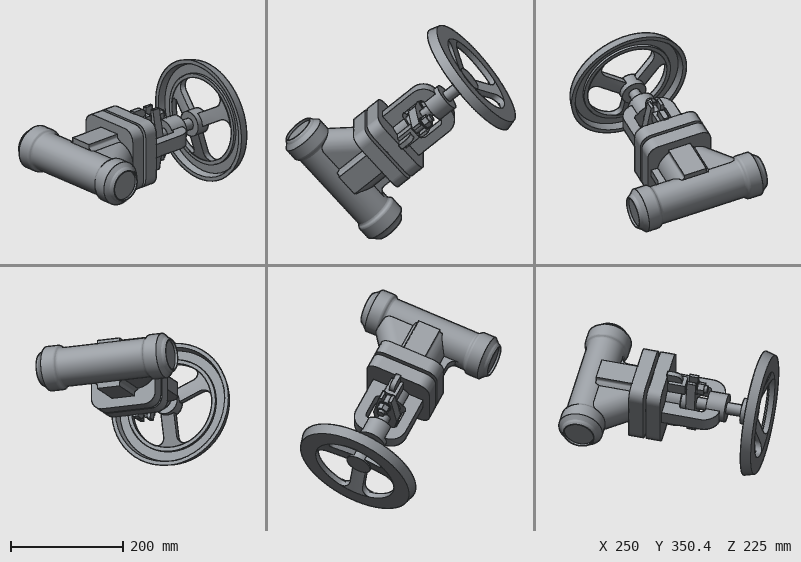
import cadquery as cq
import math


pipe_length = 250.0
pipe_radius = 34.9
collar_radius = 40.0
neck_down_start = 87.0
neck_down_round = 5.0
bevel_length = 14.0
bevel_land_length = 6.5
bevel_land_radius = 32.5
bevel_middle_length = 3.2
bevel_middle_radius = 30.8
pipe_tip_radius = 28.2
port_radius = 27.0
port_depth = 4.5
pipe_seam_angle = 20.0

neck_radius = 43.0
neck_bottom = 7.0
pad_half_width = 21.3
pad_reach = 44.5
pad_round = 4.0
rib_thickness = 16.0
rib_reach = 55.0
rib_round = 14.8
shoulder_radius = 32.0
shoulder_top_reach = 61.8
shoulder_depth = 35.0
shoulder_angle = 37.8

flange_width = 123.0
flange_corner_radius = 21.0
flange_thickness = 26.0
body_flange_bottom = 76.0
body_flange_top = body_flange_bottom + flange_thickness
seat_radius = 39.0
joint_height = 104.2
tongue_radius = 43.5
bonnet_flange_bottom = 107.5
bonnet_flange_top = bonnet_flange_bottom + flange_thickness

yoke_width = 98.5
yoke_thickness = 25.5
yoke_top = 233.0
yoke_outer_round = 29.0
window_width = 60.0
window_bottom = 160.0
window_top = 207.5
window_round = 7.0
yoke_hub_radius = 25.0
yoke_hub_top = 241.5

gland_radius = 17.0
gland_plate_bottom = 170.8
gland_plate_top = 186.8
gland_plate_reach = 59.0
gland_plate_middle_half_width = 23.0
gland_plate_end_half_width = 12.0
bolt_offset = 40.0
bolt_radius = 6.5
bolt_end = 206.0
gland_slot_width = 2 * bolt_radius
washer_radius = 12.0
washer_thickness = 2.2
nut_across_flats = 19.0
nut_top = 200.2
bolt_eye_bottom = 135.5
bolt_eye_top = 167.3
bolt_eye_width = 23.5
bolt_eye_depth = 21.0
bolt_eye_slot_width = 11.5
lug_thickness = 9.4
lug_reach = 65.0
lug_bottom = 132.0
lug_round = 12.0

spindle_radius = 10.5
wheel_front = 292.4
wheel_back = 310.4
wheel_front_radius = 112.5
wheel_back_radius = 107.5
rim_lip_radius = 105.2
groove_floor_radius = 101.5
groove_floor = 305.0
inner_ring_outer_radius = 84.4
inner_ring_radius = 77.3
inner_ring_front = 300.0
wheel_hub_radius = 23.0
wheel_hub_front = 270.2
wheel_hub_back = 295.4
spoke_web_front_at_hub = 280.5
spoke_web_slope = 1 / 3
spoke_width = 25.0
spoke_count = 3
spoke_round = 13.0


def disc(radius, start, end):
    """Cylinder about the spindle between two heights."""
    return cq.Workplane("XZ", origin=(0, start, 0)).circle(radius).extrude(start - end)


def block(width, start, end, depth, center_z=0.0):
    """Box centred on X = 0 between two heights, centred on center_z."""
    return (
        cq.Workplane("XZ", origin=(0, start, center_z))
        .rect(width, depth)
        .extrude(start - end)
    )


def square_flange(start):
    return (
        block(flange_width, start, start + flange_thickness, flange_width)
        .edges("|Y")
        .fillet(flange_corner_radius)
    )


def make_pipe():
    end = pipe_length / 2
    narrowing = collar_radius - pipe_radius
    half_profile = [
        (neck_down_start - narrowing, pipe_radius),
        (neck_down_start, collar_radius),
        (end - bevel_length, collar_radius),
        (end - bevel_land_length, bevel_land_radius),
        (end - bevel_middle_length, bevel_middle_radius),
        (end, pipe_tip_radius),
        (end, 0),
    ]
    mirrored = [(-x, r) for x, r in reversed(half_profile)]
    pipe = cq.Workplane("XZ").polyline(half_profile + mirrored).close().revolve(360, (0, 0), (1, 0))
    for side in (-1, 1):
        for x in (neck_down_start - narrowing, neck_down_start):
            pipe = pipe.edges(cq.selectors.BoxSelector(
                (side * x - 1, -pipe_length, -pipe_length),
                (side * x + 1, pipe_length, pipe_length),
            )).edges("%CIRCLE").fillet(neck_down_round)
        port = (
            cq.Workplane("YZ", origin=(side * end, 0, 0))
            .circle(port_radius)
            .extrude(-side * port_depth)
        )
        pipe = pipe.cut(port)
    return pipe.rotate((0, 0, 0), (1, 0, 0), pipe_seam_angle)


def make_neck():
    """Round neck with a flat pad on its +Z and -Z faces, blended into the round."""
    neck = disc(neck_radius, neck_bottom, body_flange_bottom)
    pads = block(2 * pad_half_width, neck_bottom, body_flange_bottom, 2 * pad_reach)
    corner_z = math.sqrt(neck_radius**2 - pad_half_width**2)
    neck = neck.union(pads)
    for x in (-pad_half_width, pad_half_width):
        for z in (-corner_z, corner_z):
            corner = cq.selectors.BoxSelector((x - 1, 0, z - 1), (x + 1, body_flange_bottom, z + 1))
            neck = neck.edges(corner).edges("|Y").fillet(pad_round)
    return neck


def make_side_rib():
    """Rib on the -X side of the neck, its round foot level with the pipe surface at the rib's side faces."""
    foot_height = math.sqrt(pipe_radius**2 - (rib_thickness / 2) ** 2)
    outline = (
        cq.Workplane("XY", origin=(0, 0, -rib_thickness / 2))
        .lineTo(0, body_flange_bottom)
        .lineTo(-rib_reach, body_flange_bottom)
        .lineTo(-rib_reach, foot_height + rib_round)
        .radiusArc((-rib_reach - rib_round, foot_height), rib_round)
        .lineTo(-rib_reach - rib_round, 0)
        .close()
    )
    return outline.extrude(rib_thickness)


def make_shoulder():
    """Slanted half-round shoulder on the +X side, running from the flange edge down to the pipe."""
    slant = math.radians(shoulder_angle)
    top_x = shoulder_top_reach - shoulder_radius / math.cos(slant)
    foot_x = top_x + body_flange_bottom * math.tan(slant)
    across_axis = cq.Plane(
        origin=(foot_x, 0, 0),
        xDir=(math.cos(slant), math.sin(slant), 0),
        normal=(-math.sin(slant), math.cos(slant), 0),
    )
    shoulder = (
        cq.Workplane(across_axis)
        .moveTo(-shoulder_depth, -shoulder_radius)
        .lineTo(0, -shoulder_radius)
        .threePointArc((shoulder_radius, 0), (0, shoulder_radius))
        .lineTo(-shoulder_depth, shoulder_radius)
        .close()
        .extrude(2 * body_flange_bottom)
    )
    height_limits = block(2 * pipe_length, neck_bottom, body_flange_bottom, pipe_length)
    return shoulder.intersect(height_limits)


def make_valve_body():
    body = make_pipe()
    for piece in (make_neck(), make_side_rib(), make_shoulder()):
        body = body.union(piece)
    body = body.union(square_flange(body_flange_bottom))
    return body.union(disc(seat_radius, body_flange_top, joint_height))


def make_yoke():
    half_width = yoke_width / 2
    arch_start = yoke_top - yoke_outer_round
    crown_half_width = half_width - yoke_outer_round
    frame = (
        cq.Workplane("XY", origin=(0, 0, -yoke_thickness / 2))
        .moveTo(-half_width, bonnet_flange_top)
        .lineTo(-half_width, arch_start)
        .radiusArc((-crown_half_width, yoke_top), yoke_outer_round)
        .lineTo(crown_half_width, yoke_top)
        .radiusArc((half_width, arch_start), yoke_outer_round)
        .lineTo(half_width, bonnet_flange_top)
        .close()
        .extrude(yoke_thickness)
    )
    window = (
        block(window_width, window_bottom, window_top, yoke_thickness)
        .edges("|Z")
        .fillet(window_round)
    )
    stuffing_box = disc(yoke_hub_radius, bonnet_flange_top, window_bottom)
    hub = disc(yoke_hub_radius, window_top, yoke_hub_top)
    return frame.cut(window).union(stuffing_box).union(hub)


def make_gland():
    plate = (
        cq.Workplane("XZ", origin=(0, gland_plate_bottom, 0))
        .polyline([
            (-gland_plate_middle_half_width, 0),
            (-gland_plate_end_half_width, gland_plate_reach),
            (gland_plate_end_half_width, gland_plate_reach),
            (gland_plate_middle_half_width, 0),
            (gland_plate_end_half_width, -gland_plate_reach),
            (-gland_plate_end_half_width, -gland_plate_reach),
        ])
        .close()
        .extrude(gland_plate_bottom - gland_plate_top)
    )
    for side in (-1, 1):
        slot_end = disc(gland_slot_width / 2, gland_plate_bottom, gland_plate_top)
        slot = block(
            gland_slot_width, gland_plate_bottom, gland_plate_top,
            gland_plate_reach - bolt_offset, side * (gland_plate_reach + bolt_offset) / 2,
        )
        plate = plate.cut(slot).cut(slot_end.translate((0, 0, side * bolt_offset)))
    return plate.union(disc(gland_radius, window_bottom, gland_plate_bottom))


def make_swing_bolt(side):
    """Lug on the bonnet, forked bolt eye straddling it, and bolt with washer and nut."""
    lug = (
        cq.Workplane("YZ", origin=(-lug_thickness / 2, 0, 0))
        .moveTo(lug_bottom, 0)
        .lineTo(lug_bottom, side * lug_reach)
        .lineTo(window_bottom - lug_round, side * lug_reach)
        .radiusArc((window_bottom, side * (lug_reach - lug_round)), side * lug_round)
        .lineTo(window_bottom, 0)
        .close()
        .extrude(lug_thickness)
    )
    center_z = side * bolt_offset
    eye = block(bolt_eye_width, bolt_eye_bottom, bolt_eye_top, bolt_eye_depth, center_z)
    eye_slot = block(bolt_eye_slot_width, bolt_eye_bottom, window_bottom, bolt_eye_depth, center_z)
    washer_top = gland_plate_top + washer_thickness
    shank = disc(bolt_radius, bolt_eye_top, bolt_end)
    washer = disc(washer_radius, gland_plate_top, washer_top)
    nut_across_corners = nut_across_flats / math.cos(math.pi / 6)
    nut = (
        cq.Workplane("XZ", origin=(0, washer_top, 0))
        .transformed(rotate=(0, 0, 90))
        .polygon(6, nut_across_corners)
        .extrude(washer_top - nut_top)
    )
    fastener = shank.union(washer).union(nut).translate((0, 0, center_z))
    return lug.union(eye.cut(eye_slot)).union(fastener)


def make_spoke_window(angle):
    """Rounded opening between two neighbouring spokes; angle is the middle of the opening."""
    half_spoke = spoke_width / 2
    half_step = math.pi / spoke_count
    corner_x = half_spoke / math.sin(half_step)
    reach = 2 * inner_ring_radius
    wedge = (
        cq.Workplane("XZ", origin=(0, wheel_hub_front, 0))
        .polyline([
            (corner_x, 0),
            (corner_x + reach * math.cos(half_step), reach * math.sin(half_step)),
            (corner_x + reach * math.cos(half_step), -reach * math.sin(half_step)),
        ])
        .close()
        .extrude(wheel_hub_front - wheel_back)
    )
    opening = wedge.intersect(disc(inner_ring_radius, wheel_hub_front, wheel_back))
    opening = opening.edges("|Y").edges(cq.selectors.BoxSelector(
        (wheel_hub_radius, 0, -reach), (reach, 2 * wheel_back, reach)
    )).fillet(spoke_round)
    return opening.rotate((0, 0, 0), (0, 1, 0), -angle)


def make_handwheel():
    rim = (
        cq.Workplane("XY")
        .polyline([
            (inner_ring_radius, inner_ring_front),
            (inner_ring_outer_radius, inner_ring_front),
            (inner_ring_outer_radius, groove_floor),
            (groove_floor_radius, groove_floor),
            (rim_lip_radius, wheel_front),
            (wheel_front_radius, wheel_front),
            (wheel_back_radius, wheel_back),
            (inner_ring_radius, wheel_back),
        ])
        .close()
        .revolve(360, (0, 0), (0, 1))
    )
    web_outer_front = (
        spoke_web_front_at_hub + (inner_ring_radius - wheel_hub_radius) * spoke_web_slope
    )
    spoke_web_thickness = wheel_back - web_outer_front
    web = (
        cq.Workplane("XY")
        .polyline([
            (0, spoke_web_front_at_hub),
            (wheel_hub_radius, spoke_web_front_at_hub),
            (inner_ring_radius, web_outer_front),
            (inner_ring_radius, web_outer_front + spoke_web_thickness),
            (wheel_hub_radius, spoke_web_front_at_hub + spoke_web_thickness),
            (0, spoke_web_front_at_hub + spoke_web_thickness),
        ])
        .close()
        .revolve(360, (0, 0), (0, 1))
    )
    for index in range(spoke_count):
        web = web.cut(make_spoke_window(90 + index * 360 / spoke_count))
    hub = disc(wheel_hub_radius, wheel_hub_front, wheel_hub_back)
    return rim.union(web).union(hub)


def make_bonnet():
    """Bonnet with yoke, gland, swing bolts, spindle and handwheel."""
    bonnet = square_flange(bonnet_flange_bottom)
    bonnet = bonnet.union(disc(tongue_radius, joint_height, bonnet_flange_bottom))
    bonnet = bonnet.union(make_yoke()).union(make_gland())
    for side in (-1, 1):
        bonnet = bonnet.union(make_swing_bolt(side))
    bonnet = bonnet.union(disc(spindle_radius, window_bottom, wheel_hub_front))
    return bonnet.union(make_handwheel())


valve_body = make_valve_body()
bonnet = make_bonnet()

result = cq.Compound.makeCompound([valve_body.val(), bonnet.val()])